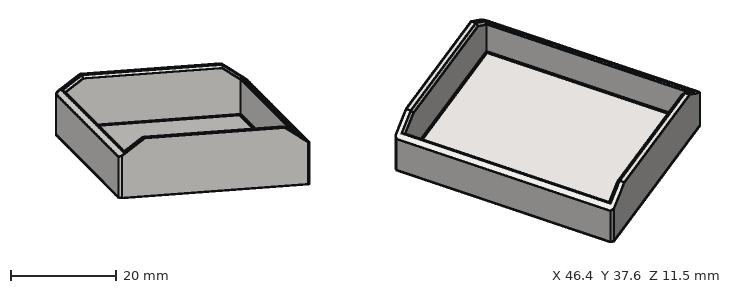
import cadquery as cq

length = 46.35
width = 37.6
height = 11.5

wall = 1.55
floor_thickness = 1.5
corner_chamfer = 0.5
rim_chamfer = 0.5
floor_chamfer = 0.2

low_rim_height = 8.0
slope_run = 4.95

half_width = width / 2


def outer_body():
    """Solid block with the sloped side outline and chamfered upright corners."""
    profile = [
        (-half_width, 0),
        (half_width, 0),
        (half_width, low_rim_height),
        (half_width - slope_run, height),
        (-half_width + slope_run, height),
        (-half_width, low_rim_height),
    ]
    outline = cq.Workplane("YZ").polyline(profile).close()
    block = outline.extrude(length / 2, both=True)
    return block.edges("|Z").chamfer(corner_chamfer)


def cavity():
    """Open pocket with a small chamfer around its floor."""
    pocket = cq.Workplane("XY").workplane(offset=floor_thickness)
    pocket = pocket.rect(length - 2 * wall, width - 2 * wall).extrude(height)
    return pocket.faces("<Z").edges().chamfer(floor_chamfer)


def inner_rim_box():
    """Box that encloses the inner rim edges but not the floor edges."""
    margin = 0.05
    x_limit = length / 2 - wall + margin
    y_limit = half_width - wall + margin
    bottom = low_rim_height
    return cq.selectors.BoxSelector(
        (-x_limit, -y_limit, bottom), (x_limit, y_limit, height + margin), boundingbox=True
    )


tray = outer_body().cut(cavity())
result = tray.edges(inner_rim_box()).chamfer(rim_chamfer)